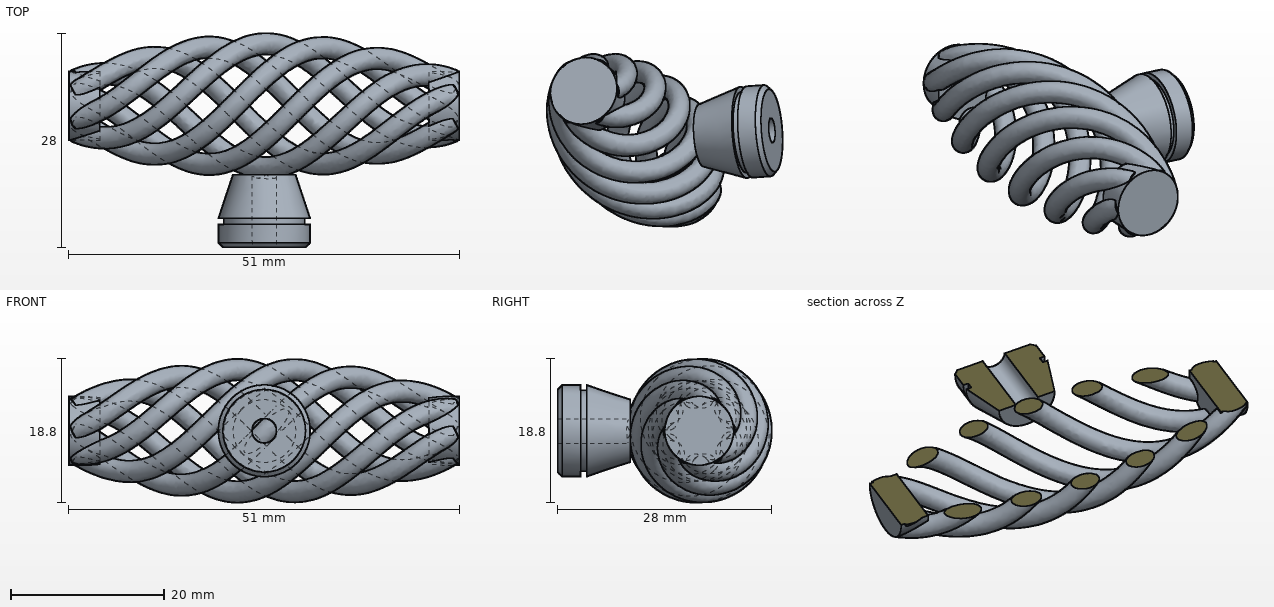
import cadquery as cq
import math

basket_length = 51.0
wire_count = 6
wire_radius = 1.42
basket_radius = 9.51
plug_radius = 4.5
plug_length = 4.0
path_end_radius = 3.0
twist_pitch = 50.0
twist_offset = 0.27
wire_setback = 0.9
path_spans = 12

foot_end = 18.5
foot_radius = 6.0
foot_chamfer = 0.6
collar_length = 3.0
groove_width = 0.8
groove_radius = 5.3
cone_length = 5.7
cone_tip_radius = 4.1
hole_radius = 1.6

half_length = basket_length / 2
path_mid_radius = basket_radius - wire_radius
path_rise = path_mid_radius - path_end_radius
bulge_radius = (half_length**2 + path_rise**2) / (2 * path_rise)


def wire_point(x):
    """Point on the wire's centre line, whose distance from X follows a circular arc."""
    radius = path_mid_radius - bulge_radius + math.sqrt(bulge_radius**2 - x**2)
    angle = 2 * math.pi * (twist_offset - x) / twist_pitch
    return cq.Vector(x, radius * math.cos(angle), radius * math.sin(angle))


def make_wire():
    """Round wire swept along its twisted, bulging centre line."""
    path_half = half_length - wire_setback
    step = 2 * path_half / path_spans
    points = [wire_point(-path_half + i * step) for i in range(path_spans + 1)]
    path = cq.Workplane("XY").spline(points)
    section_plane = cq.Plane(origin=points[0], normal=path.val().tangentAt(0))
    return cq.Workplane(section_plane).circle(wire_radius).sweep(path)


def make_plug(x_start):
    """Solid disc that joins the wire ends, from x_start towards +X."""
    return cq.Workplane("YZ", origin=(x_start, 0, 0)).circle(plug_radius).extrude(plug_length)


def make_basket():
    """Plugs at both ends and evenly spaced copies of one wire between them."""
    wire = make_wire()
    basket = make_plug(-half_length).add(make_plug(half_length - plug_length))
    for i in range(wire_count):
        basket = basket.add(wire.rotate((0, 0, 0), (1, 0, 0), i * 360 / wire_count))
    return basket.combine()


def make_foot():
    """Chamfered collar, groove and cone turned about Y, with the hole through them."""
    collar_top = collar_length - foot_end
    cone_base = collar_top + groove_width
    cone_tip = cone_base + cone_length
    profile = [
        (hole_radius, -foot_end),
        (foot_radius - foot_chamfer, -foot_end),
        (foot_radius, foot_chamfer - foot_end),
        (foot_radius, collar_top),
        (groove_radius, collar_top),
        (groove_radius, cone_base),
        (foot_radius, cone_base),
        (cone_tip_radius, cone_tip),
        (hole_radius, cone_tip),
    ]
    return cq.Workplane("XY").polyline(profile).close().revolve(360, (0, 0, 0), (0, 1, 0))


result = make_basket().union(make_foot())